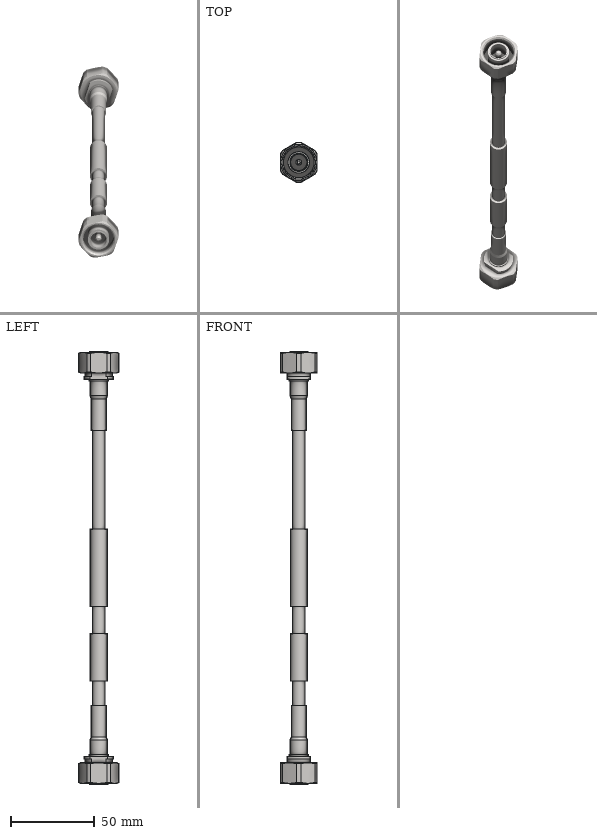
import cadquery as cq
import math

assembly_length = 259.25
half_length = assembly_length / 2

nut_flats = 22.0
nut_corner_diameter = 24.0
nut_hex_diameter = nut_flats / math.cos(math.pi / 6)
nut_setback = 0.45
nut_length = 12.5
nut_edge_inset = 1.15
nut_edge_rise = 0.65
nut_bore_radius = 9.2
nut_mouth_chamfer = 0.8
nut_floor_depth = 10.0

sleeve_outer_radius = 6.4
sleeve_inner_radius = 4.9
sleeve_tip_radius = 5.4
sleeve_tip_length = 0.8
pin_radius = 1.7
pin_tip_chamfer = 0.8
pin_setback = 1.5

neck_radius = 8.3
neck_length = 2.1
flange_radius = 8.8
flange_length = 1.7
hub_radius = 5.8
hub_length = 1.0
wrench_flats = 14.0

ferrule_radius = 5.2
boot_radius = 4.5
ferrule_end = 26.5
boot_taper_length = 1.9
boot_end = 47.3

cable_radius = 3.85
marker_radius = 5.1
long_marker_bottom = -23.2
long_marker_top = 23.2
short_marker_bottom = -67.8
short_marker_top = -39.4

nut_back = nut_setback + nut_length
neck_back = nut_back + neck_length
flange_back = neck_back + flange_length
ferrule_start = flange_back + hub_length
boot_start = ferrule_end + boot_taper_length
cable_end = ferrule_start


def cylinder(radius, bottom, top):
    """Solid round bar on the Z axis between two heights."""
    return cq.Workplane("XY").workplane(offset=bottom).circle(radius).extrude(top - bottom)


def tube(outer_radius, inner_radius, bottom, top):
    """Round tube on the Z axis between two heights."""
    return cylinder(outer_radius, bottom, top).cut(cylinder(inner_radius, bottom, top))


def make_nut():
    """Hexagonal cup, its corners turned round and chamfered at both ends."""
    hexagon = (
        cq.Workplane("XY")
        .workplane(offset=nut_setback)
        .polygon(6, nut_hex_diameter)
        .extrude(nut_length)
        .rotate((0, 0, 0), (0, 0, 1), 30)
    )
    turned = cylinder(nut_corner_diameter / 2, nut_setback, nut_back)
    turned = turned.faces("<Z or >Z").chamfer(nut_edge_rise, nut_edge_inset)
    bore = cylinder(nut_bore_radius, nut_setback, nut_floor_depth)
    mouth = (
        cq.Workplane("XY")
        .workplane(offset=nut_setback)
        .circle(nut_bore_radius + nut_mouth_chamfer)
        .workplane(offset=nut_mouth_chamfer)
        .circle(nut_bore_radius)
        .loft()
    )
    return hexagon.intersect(turned).cut(bore).cut(mouth)


def make_sleeve():
    """Outer contact sleeve, stepped down to a thinner wall at its tip."""
    tip = tube(sleeve_tip_radius, sleeve_inner_radius, 0, sleeve_tip_length)
    return tip.union(tube(sleeve_outer_radius, sleeve_inner_radius, sleeve_tip_length, nut_floor_depth))


def make_pin():
    """Centre contact pin with a chamfered tip."""
    return cylinder(pin_radius, pin_setback, nut_floor_depth).faces("<Z").chamfer(pin_tip_chamfer)


def make_collar():
    """Neck, flange and hub with two wrench flats facing +X and -X."""
    profile = (
        cq.Workplane("XZ")
        .moveTo(0, nut_back)
        .lineTo(neck_radius, nut_back)
        .lineTo(neck_radius, neck_back)
        .lineTo(flange_radius, neck_back)
        .lineTo(flange_radius, flange_back)
        .lineTo(hub_radius, flange_back)
        .lineTo(hub_radius, ferrule_start)
        .lineTo(0, ferrule_start)
        .close()
        .revolve(360, (0, 0, 0), (0, 1, 0))
    )
    flats = (
        cq.Workplane("XY")
        .workplane(offset=nut_back)
        .rect(wrench_flats, 2 * flange_radius)
        .extrude(ferrule_start - nut_back)
    )
    return profile.intersect(flats)


def make_ferrule_and_boot():
    """Ferrule tapering to the boot, with the hole that holds the cable."""
    outside = (
        cq.Workplane("XZ")
        .moveTo(0, ferrule_start)
        .lineTo(ferrule_radius, ferrule_start)
        .lineTo(ferrule_radius, ferrule_end)
        .lineTo(boot_radius, boot_start)
        .lineTo(boot_radius, boot_end)
        .lineTo(0, boot_end)
        .close()
        .revolve(360, (0, 0, 0), (0, 1, 0))
    )
    return outside.cut(cylinder(cable_radius, cable_end, boot_end))


def make_connector():
    """Connector with its mating end at Z = 0 and its boot toward +Z."""
    connector = make_nut().union(make_sleeve()).union(make_pin())
    return connector.union(make_collar()).union(make_ferrule_and_boot())


def make_cable():
    """Straight cable ending at the bottom of each connector's hole."""
    return cylinder(cable_radius, cable_end - half_length, half_length - cable_end)


def make_marker(bottom, top):
    """Marker sleeve fitted around the cable."""
    return tube(marker_radius, cable_radius, bottom, top)


bottom_connector = make_connector().translate((0, 0, -half_length))
top_connector = bottom_connector.mirror("XY")
cable = make_cable()
marker_spans = [
    (long_marker_bottom, long_marker_top),
    (short_marker_bottom, short_marker_top),
]
markers = [make_marker(bottom, top).val() for bottom, top in marker_spans]

result = cq.Compound.makeCompound([bottom_connector.val(), top_connector.val(), cable.val(), *markers])